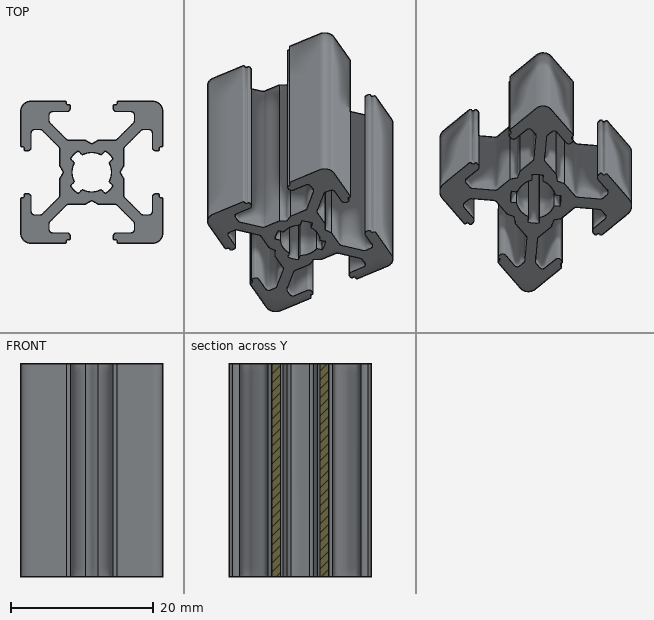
import cadquery as cq
import math

length = 30.0
width = 20.0
half_width = width / 2
corner_radius = 1.5

lip_thickness = 1.5
lip_step_depth = 0.5
mouth_half_width = 3.57
slot_half_width = 3.0
lip_fillet = 0.2
lip_tip_fillet = 0.5
pocket_half_width = 6.0
pocket_fillet = 0.5

core_half_width = 4.5
web_thickness = 1.5
web_offset = web_thickness / math.sqrt(2)

groove_half_width = 0.9
groove_depth = 0.5
groove_fillet = 0.15

bore_radius = 2.75
relief_radius = 3.55
relief_width = 1.55

pick_span = 0.1


def turned(solid, angle):
    """Turn a solid about the profile's long axis."""
    return solid.rotate((0, 0, 0), (0, 0, 1), angle)


def edge_at(x, y):
    """Selector for the lengthwise edge that passes through (x, y)."""
    return cq.selectors.BoxSelector(
        (x - pick_span, y - pick_span, 0),
        (x + pick_span, y + pick_span, length),
    )


def round_pair(solid, x, y, radius):
    """Fillet the lengthwise edges at (x, y) and (-x, y)."""
    return solid.edges("|Z").edges(edge_at(x, y) + edge_at(-x, y)).fillet(radius)


def make_slot():
    """Void of the slot that opens toward +Y."""
    lip_y = half_width - lip_thickness
    step_y = half_width - lip_step_depth
    rim = (mouth_half_width, half_width)
    rounded_corners = [
        ((mouth_half_width, step_y), lip_fillet),
        ((slot_half_width, step_y), lip_fillet),
        ((slot_half_width, lip_y), lip_tip_fillet),
        ((pocket_half_width, lip_y), pocket_fillet),
        ((pocket_half_width, pocket_half_width + web_offset), pocket_fillet),
        ((core_half_width - web_offset, core_half_width), pocket_fillet),
    ]
    groove_edge = (groove_half_width, core_half_width)
    groove_bottom = (0, core_half_width - groove_depth)

    right_side = [rim] + [corner for corner, radius in rounded_corners] + [groove_edge]
    left_side = [(-x, y) for x, y in reversed(right_side)]
    outline = right_side + [groove_bottom] + left_side
    slot = cq.Workplane("XY").polyline(outline).close().extrude(length)

    for (x, y), radius in rounded_corners:
        slot = round_pair(slot, x, y, radius)
    return slot.edges("|Z").edges(edge_at(*groove_bottom)).fillet(groove_fillet)


def make_bore():
    """Round bore joined with two crossed diagonal reliefs whose ends follow a larger circle."""
    bore = cq.Workplane("XY").circle(bore_radius).extrude(length)
    relief_limit = cq.Workplane("XY").circle(relief_radius).extrude(length)
    bar = cq.Workplane("XY").rect(width, relief_width).extrude(length)
    relief = bar.intersect(relief_limit)
    for angle in (45, 135):
        bore = bore.union(turned(relief, angle))
    return bore


result = cq.Workplane("XY").rect(width, width).extrude(length)
result = result.edges("|Z").fillet(corner_radius)
slot = make_slot()
for angle in (0, 90, 180, 270):
    result = result.cut(turned(slot, angle))

for side in (-half_width, half_width):
    result = round_pair(result, mouth_half_width, side, lip_fillet)
    rims_on_side_face = edge_at(side, mouth_half_width) + edge_at(side, -mouth_half_width)
    result = result.edges("|Z").edges(rims_on_side_face).fillet(lip_fillet)

result = result.cut(make_bore())